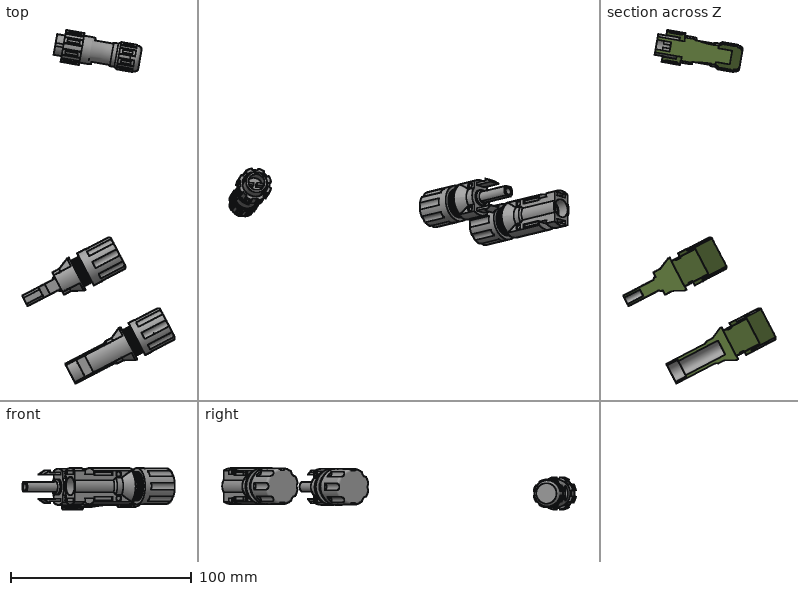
import cadquery as cq

PLUG_POSITION = (-15.0, -38.5, 1.08)
SOCKET_POSITION = (12.1, -77.7, 1.47)
WIRE_COUPLING_POSITION = (-0.4, 85.8, -2.5)
PANEL_PAIR_TURN = 27.5
WIRE_COUPLING_TURN = -10.0

SHELL_DIAMETER = 20.2
SHELL_RADIUS = SHELL_DIAMETER / 2
SHELL_HALF_WIDTH = 5.3
FLANGE_LENGTH = 1.2
NUT_END = 29.4
NUT_RIM_ROUND = 1.5
GROOVE_COUNT = 8
GROOVE_START = 14.1
GROOVE_RADIUS = 2.3
GROOVE_CENTRE_RADIUS = 11.2
COLLAR_RADIUS = 8.0
COLLAR_INSERTION = 9.8
TOOTH_COUNT = 30
TOOTH_ROW_COUNT = 2
TOOTH_GAP = 0.8
TOOTH_DEPTH = 0.8
SIDE_RECESS_DEPTH = 1.0
DIMPLE_RADIUS = 1.5
DIMPLE_HEIGHT = 6.7
LATCH_INNER = 6.7

PLUG_SHELL_START = -8.2
PLUG_BARREL_RADIUS = 7.0
PLUG_CONE_START = -4.0
PLUG_FLANGE_END = 3.7
PLUG_NUT_START = 8.8
PLUG_DIMPLE_X = -5.0
PIN_TIP = -29.0
PIN_RADIUS = 3.3
PIN_FLAT_HEIGHT = 2.7
PIN_BORE_RADIUS = 2.0
PIN_BORE_DEPTH = 9.8
PIN_COLLAR_RADIUS = 4.3
PIN_COLLAR_LENGTH = 2.0
PIN_COLLAR_TAPER = 1.0
ARM_HALF_WIDTH = 3.3
ARM_THICKNESS = 1.4
ARM_TIP = -18.8
ARM_TIP_THICKNESS = 0.2
HOOK_PEAK_X = -14.9
HOOK_PEAK_HEIGHT = 9.2

SOCKET_START = -31.3
MOUTH_END = -24.7
SOCKET_BARREL_RADIUS = 6.3
SOCKET_BELL_START = -7.0
SOCKET_BELL_RADIUS = 7.0
SOCKET_BELL_RISE = 1.4
SOCKET_CONE_START = -2.0
SOCKET_FLANGE_END = 5.3
SOCKET_NUT_START = 10.2
MOUTH_BORE_RADIUS = 5.0
INNER_BORE_RADIUS = 4.3
INNER_BORE_END = 0.0
POCKET_START = -24.9
POCKET_END = -19.5
LATCH_SLOT_HEIGHT = 2.0
SIDE_GROOVE_START = -18.8
SIDE_GROOVE_END = -7.6
SIDE_GROOVE_HEIGHT = 6.9
SIDE_GROOVE_WIDTH = 1.8
SOCKET_DIMPLE_X = -3.7

NOSE_START = -23.9
NOSE_RADIUS = 5.9
NOSE_BORE_RADIUS = 4.5
NOSE_BORE_DEPTH = 7.8
KEY_SETBACK = 4.0
KEY_WIDTH = 1.4
KEY_GAP = 2.0
KEYWAY_WIDTH = 1.8
KEYWAY_DEPTH = 0.8
RING_START = -19.4
RING_END = -9.0
RING_RADIUS = 8.2
RING_RIB_RADIUS = 9.2
RING_CAVITY_RADIUS = 7.0
RING_CAVITY_END = -11.7
BODY_RADIUS = 7.6
BODY_END = -4.1
WAIST_MIDDLE_X = 1.0
WAIST_MIDDLE_RADIUS = 6.9
WAIST_END = 7.8
WAIST_END_RADIUS = 6.5
BAND_RADIUS = 6.7
GLAND_START = 10.4
GLAND_END = 23.7
GLAND_RADIUS = 7.2
GLAND_RIB_RADIUS = 7.8
GLAND_LEAD_LENGTH = 1.4
GLAND_RIB_END = 20.8
GLAND_END_RADIUS = 5.7
GLAND_ROUND_MIDDLE = (22.7, 6.9)
BODY_SPIGOT_RADIUS = 5.5
BODY_SPIGOT_LENGTH = 7.8
SPANNER_FLAT_DISTANCE = 6.0
SPANNER_FLAT_START = -2.5
SPANNER_FLAT_END = 7.5
RIB_COUNT = 8
RIB_WIDTH = 3.5
RIB_POCKET_WIDTH = 1.8
RIB_POCKET_DEPTH = 0.5
RIB_POCKET_MARGIN = 1.8


def box(x_start, x_end, y_size, z_start, z_end):
    """Block centred on y = 0 between the given x and z limits."""
    return (
        cq.Workplane("XY")
        .box(x_end - x_start, y_size, z_end - z_start, centered=(False, True, False))
        .translate((x_start, 0, z_start))
    )


def cylinder(x_start, x_end, radius):
    """Cylinder on the X axis."""
    return cq.Workplane("YZ", origin=(x_start, 0, 0)).circle(radius).extrude(x_end - x_start)


def turned(profile):
    """Solid of revolution about the X axis from (x, radius) points."""
    points = [(profile[0][0], 0), *profile, (profile[-1][0], 0)]
    return cq.Workplane("XY").polyline(points).close().revolve(360, (0, 0, 0), (1, 0, 0))


def around_axis(shape, count, start_angle=0):
    """Copies of a shape spread evenly around the X axis."""
    return [
        shape.rotate((0, 0, 0), (1, 0, 0), start_angle + index * 360 / count)
        for index in range(count)
    ]


def top_and_bottom(shape):
    """A shape and its mirror image below the axis."""
    return [shape, shape.mirror("XY")]


def placed(body, turn, position):
    """A body turned about Z and moved to its connector's position."""
    return body.rotate((0, 0, 0), (0, 0, 1), turn).translate(position)


def shell(x_start, x_end):
    """Flat-sided shell with curved top and bottom."""
    slab = box(x_start, x_end, 2 * SHELL_HALF_WIDTH, -SHELL_RADIUS, SHELL_RADIUS)
    return cylinder(x_start, x_end, SHELL_RADIUS).intersect(slab)


def cut_dimples(housing, x):
    """Round recesses in both flat sides, above and below the axis."""
    for side in (-1, 1):
        for level in (-1, 1):
            floor = (x, side * (SHELL_HALF_WIDTH - SIDE_RECESS_DEPTH), level * DIMPLE_HEIGHT)
            dimple = cq.Workplane("XZ", origin=floor).circle(DIMPLE_RADIUS)
            housing = housing.cut(dimple.extrude(-side * SIDE_RECESS_DEPTH))
    return housing


def clamp_nut(x_start):
    """Nut with rounded rim, grip grooves and a blind socket for the collar."""
    nut = cylinder(x_start, NUT_END, SHELL_RADIUS).faces(">X").edges().fillet(NUT_RIM_ROUND)
    groove = cylinder(GROOVE_START, NUT_END, GROOVE_RADIUS).translate((0, 0, GROOVE_CENTRE_RADIUS))
    for cutter in around_axis(groove, GROOVE_COUNT):
        nut = nut.cut(cutter)
    return nut.cut(cylinder(x_start, x_start + COLLAR_INSERTION, COLLAR_RADIUS))


def clamp_collar(x_start, nut_start):
    """Collar between flange and nut, with staggered rows of ratchet teeth."""
    collar = cylinder(x_start, nut_start + COLLAR_INSERTION, COLLAR_RADIUS)
    half_pitch = 180 / TOOTH_COUNT
    row_length = (nut_start - x_start) / TOOTH_ROW_COUNT
    gap_floor = COLLAR_RADIUS - TOOTH_DEPTH
    for row in range(TOOTH_ROW_COUNT):
        row_start = x_start + row * row_length
        row_end = row_start + row_length
        gap = box(row_start, row_end, TOOTH_GAP, gap_floor, COLLAR_RADIUS + TOOTH_DEPTH)
        for cutter in around_axis(gap, TOOTH_COUNT, row * half_pitch):
            collar = collar.cut(cutter)
    return collar


def contact_pin():
    """Hollow pin with flats above and below and a tapered collar at its root."""
    pin = cylinder(PIN_TIP, PLUG_SHELL_START, PIN_RADIUS).intersect(
        box(PIN_TIP, PLUG_SHELL_START, 2 * PIN_RADIUS, -PIN_FLAT_HEIGHT, PIN_FLAT_HEIGHT)
    )
    collar_start = PLUG_SHELL_START - PIN_COLLAR_LENGTH
    collar = turned([
        (collar_start, PIN_RADIUS),
        (collar_start + PIN_COLLAR_TAPER, PIN_COLLAR_RADIUS),
        (PLUG_SHELL_START, PIN_COLLAR_RADIUS),
    ])
    return pin.union(collar).cut(cylinder(PIN_TIP, PIN_TIP + PIN_BORE_DEPTH, PIN_BORE_RADIUS))


def latch_arm():
    """Upper latch arm with a ramped hook near its tip."""
    arm_top = LATCH_INNER + ARM_THICKNESS
    profile = [
        (PLUG_SHELL_START, LATCH_INNER),
        (ARM_TIP, LATCH_INNER),
        (ARM_TIP, LATCH_INNER + ARM_TIP_THICKNESS),
        (HOOK_PEAK_X, HOOK_PEAK_HEIGHT),
        (HOOK_PEAK_X, arm_top),
        (PLUG_SHELL_START, arm_top),
    ]
    return cq.Workplane("XZ").polyline(profile).close().extrude(ARM_HALF_WIDTH, both=True)


def plug_housing():
    """Shell with flared barrel, contact pin and two latch arms."""
    flange_start = PLUG_FLANGE_END - FLANGE_LENGTH
    barrel = turned([
        (PLUG_SHELL_START, PLUG_BARREL_RADIUS),
        (PLUG_CONE_START, PLUG_BARREL_RADIUS),
        (flange_start, SHELL_RADIUS),
        (PLUG_FLANGE_END, SHELL_RADIUS),
    ])
    housing = cut_dimples(shell(PLUG_SHELL_START, PLUG_FLANGE_END), PLUG_DIMPLE_X)
    housing = housing.union(barrel).union(contact_pin())
    for arm in top_and_bottom(latch_arm()):
        housing = housing.union(arm)
    return housing


def side_groove():
    """Upper groove running along both flat sides."""
    groove = box(
        SIDE_GROOVE_START,
        SIDE_GROOVE_END,
        2 * SHELL_HALF_WIDTH,
        SIDE_GROOVE_HEIGHT - SIDE_GROOVE_WIDTH / 2,
        SIDE_GROOVE_HEIGHT + SIDE_GROOVE_WIDTH / 2,
    )
    core_width = 2 * (SHELL_HALF_WIDTH - SIDE_RECESS_DEPTH)
    return groove.cut(box(SIDE_GROOVE_START, SIDE_GROOVE_END, core_width, 0, SHELL_RADIUS))


def socket_housing():
    """Shell with flared barrel, stepped bore, latch pockets and side recesses."""
    flange_start = SOCKET_FLANGE_END - FLANGE_LENGTH
    barrel = turned([
        (SOCKET_START, SOCKET_BARREL_RADIUS),
        (SOCKET_BELL_START, SOCKET_BARREL_RADIUS),
        (SOCKET_BELL_START + SOCKET_BELL_RISE, SOCKET_BELL_RADIUS),
        (SOCKET_CONE_START, SOCKET_BELL_RADIUS),
        (flange_start, SHELL_RADIUS),
        (SOCKET_FLANGE_END, SHELL_RADIUS),
    ])
    housing = cut_dimples(shell(SOCKET_START, SOCKET_FLANGE_END), SOCKET_DIMPLE_X)
    latch_pocket = box(POCKET_START, POCKET_END, 2 * SHELL_HALF_WIDTH, LATCH_INNER, SHELL_RADIUS)
    latch_slot = box(
        SOCKET_START, POCKET_START, 2 * ARM_HALF_WIDTH, LATCH_INNER, LATCH_INNER + LATCH_SLOT_HEIGHT
    )
    for recess in (latch_pocket, latch_slot, side_groove()):
        for cutter in top_and_bottom(recess):
            housing = housing.cut(cutter)
    housing = housing.union(barrel)
    housing = housing.cut(cylinder(SOCKET_START, MOUTH_END, MOUTH_BORE_RADIUS))
    return housing.cut(cylinder(MOUTH_END, INNER_BORE_END, INNER_BORE_RADIUS))


def ribbed_sleeve(x_start, x_end, radius, rib_radius):
    """Cylinder with grip ribs, each with a shallow pocket along its top."""
    sleeve = cylinder(x_start, x_end, radius)
    rib_top = cylinder(x_start, x_end, rib_radius)
    rib = box(x_start, x_end, RIB_WIDTH, 0, rib_radius).intersect(rib_top)
    pocket = box(
        x_start + RIB_POCKET_MARGIN,
        x_end - RIB_POCKET_MARGIN,
        RIB_POCKET_WIDTH,
        rib_radius - RIB_POCKET_DEPTH,
        rib_radius,
    )
    half_pitch = 180 / RIB_COUNT
    for copy in around_axis(rib, RIB_COUNT, half_pitch):
        sleeve = sleeve.union(copy)
    for cutter in around_axis(pocket, RIB_COUNT, half_pitch):
        sleeve = sleeve.cut(cutter)
    return sleeve


def coupling_ring():
    """Grip ring around the nose, open at the front."""
    ring = ribbed_sleeve(RING_START, RING_END, RING_RADIUS, RING_RIB_RADIUS)
    ring = ring.cut(cylinder(RING_START, RING_CAVITY_END, RING_CAVITY_RADIUS))
    return ring.cut(cylinder(RING_CAVITY_END, RING_END, NOSE_RADIUS))


def coupling_body():
    """Nose with two keys and a keyway, waisted body with spanner flats, and a rear spigot."""
    spigot_end = GLAND_START + BODY_SPIGOT_LENGTH
    body = (
        cq.Workplane("XY")
        .moveTo(NOSE_START, 0)
        .lineTo(NOSE_START, NOSE_RADIUS)
        .lineTo(RING_END, NOSE_RADIUS)
        .lineTo(RING_END, BODY_RADIUS)
        .lineTo(BODY_END, BODY_RADIUS)
        .threePointArc((WAIST_MIDDLE_X, WAIST_MIDDLE_RADIUS), (WAIST_END, WAIST_END_RADIUS))
        .lineTo(WAIST_END, BAND_RADIUS)
        .lineTo(GLAND_START, BAND_RADIUS)
        .lineTo(GLAND_START, BODY_SPIGOT_RADIUS)
        .lineTo(spigot_end, BODY_SPIGOT_RADIUS)
        .lineTo(spigot_end, 0)
        .close()
        .revolve(360, (0, 0, 0), (1, 0, 0))
    )
    bore_end = NOSE_START + NOSE_BORE_DEPTH
    keys_start = NOSE_START + KEY_SETBACK
    keys = box(keys_start, bore_end, 2 * NOSE_BORE_RADIUS, -KEY_WIDTH / 2, KEY_WIDTH / 2)
    keys = keys.cut(box(keys_start, bore_end, KEY_GAP, -KEY_WIDTH, KEY_WIDTH))
    bore = cylinder(NOSE_START, bore_end, NOSE_BORE_RADIUS).cut(keys)
    body = body.cut(bore)
    body = body.cut(box(NOSE_START, RING_START, KEYWAY_WIDTH, NOSE_RADIUS - KEYWAY_DEPTH, NOSE_RADIUS))
    flat = box(SPANNER_FLAT_START, SPANNER_FLAT_END, BODY_RADIUS, -BODY_RADIUS, BODY_RADIUS)
    for side in (-1, 1):
        body = body.cut(flat.translate((0, side * (SPANNER_FLAT_DISTANCE + BODY_RADIUS / 2), 0)))
    return body


def gland_nut():
    """Rear nut: plain lead, ribbed grip and rounded end, with a blind socket for the spigot."""
    grip_start = GLAND_START + GLAND_LEAD_LENGTH
    nut = (
        cq.Workplane("XY")
        .moveTo(GLAND_START, 0)
        .lineTo(GLAND_START, BAND_RADIUS)
        .lineTo(grip_start, GLAND_RADIUS)
        .lineTo(GLAND_RIB_END, GLAND_RADIUS)
        .threePointArc(GLAND_ROUND_MIDDLE, (GLAND_END, GLAND_END_RADIUS))
        .lineTo(GLAND_END, 0)
        .close()
        .revolve(360, (0, 0, 0), (1, 0, 0))
    )
    nut = nut.union(ribbed_sleeve(grip_start, GLAND_RIB_END, GLAND_RADIUS, GLAND_RIB_RADIUS))
    return nut.cut(cylinder(GLAND_START, GLAND_START + BODY_SPIGOT_LENGTH, BODY_SPIGOT_RADIUS))


plug_bodies = [
    plug_housing(),
    clamp_collar(PLUG_FLANGE_END, PLUG_NUT_START),
    clamp_nut(PLUG_NUT_START),
]
socket_bodies = [
    socket_housing(),
    clamp_collar(SOCKET_FLANGE_END, SOCKET_NUT_START),
    clamp_nut(SOCKET_NUT_START),
]
wire_coupling_bodies = [coupling_body(), coupling_ring(), gland_nut()]

placed_bodies = []
for bodies, turn, position in (
    (plug_bodies, PANEL_PAIR_TURN, PLUG_POSITION),
    (socket_bodies, PANEL_PAIR_TURN, SOCKET_POSITION),
    (wire_coupling_bodies, WIRE_COUPLING_TURN, WIRE_COUPLING_POSITION),
):
    for body in bodies:
        placed_bodies.append(placed(body, turn, position).val())

result = cq.Compound.makeCompound(placed_bodies)